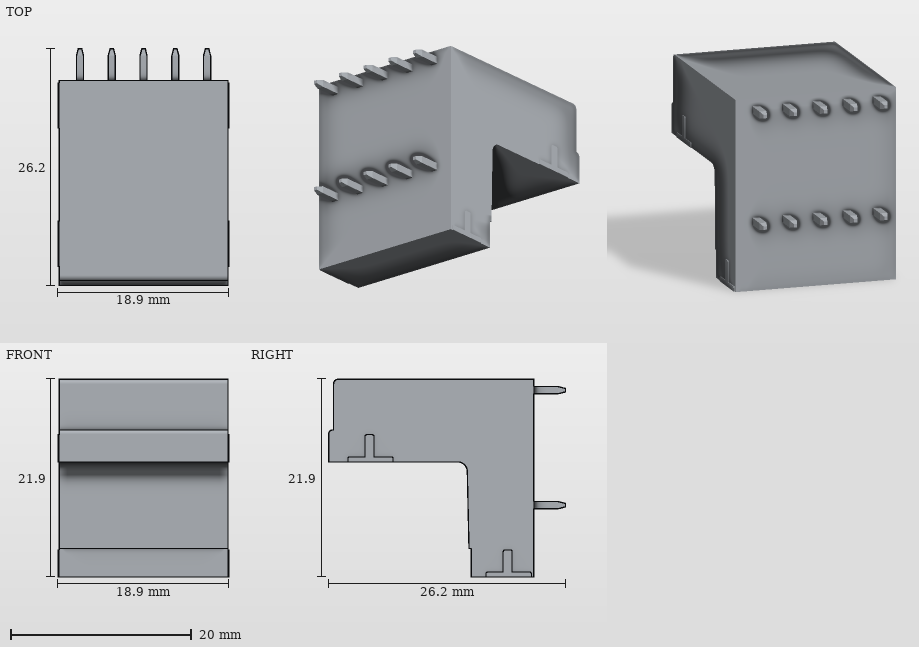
import cadquery as cq

overall_width = 18.9
overall_depth = 26.2
height = 21.9

tab_thickness = 0.1
body_width = overall_width - 2 * tab_thickness
pin_length = 3.5
body_depth = overall_depth - pin_length
arm_underside = 12.73
top_edge_radius = 0.55
lip_depth = 0.55
lip_top = 16.3
lip_radius = 0.5
foot_depth = 6.92
foot_height = 3.17
leg_bottom_depth = 7.18
leg_top_depth = 7.4
inner_radius = 1.05

pin_side = 0.8
pin_tip_side = 0.4
pin_tip_length = 0.8
pin_pitch = 3.5
pins_per_row = 5
pin_row_heights = (7.96, 20.67)
pin_root = 0.25

tab_bar_length = 5.0
tab_bar_height = 0.58
tab_stem_width = 1.0
tab_height = 3.0
tab_corner_radius = 0.18
tab_stem_offset = 0.1
foot_tab_centre = -2.78
tab_spacing = 15.27
tab_places = (
    (foot_tab_centre, 0.0),
    (foot_tab_centre - tab_spacing, arm_underside),
)


def make_housing():
    wall = -(body_depth - lip_depth)
    body = (
        cq.Workplane("YZ")
        .moveTo(0, 0)
        .lineTo(0, height)
        .lineTo(wall, height)
        .lineTo(wall, lip_top)
        .lineTo(-body_depth, lip_top)
        .lineTo(-body_depth, arm_underside)
        .lineTo(-leg_top_depth, arm_underside)
        .lineTo(-leg_bottom_depth, foot_height)
        .lineTo(-foot_depth, foot_height)
        .lineTo(-foot_depth, 0)
        .close()
        .extrude(body_width / 2, both=True)
    )
    rounded_edges = (
        (wall, height, top_edge_radius),
        (-body_depth, lip_top, lip_radius),
        (-leg_top_depth, arm_underside, inner_radius),
    )
    for y, z, radius in rounded_edges:
        edge = cq.selectors.NearestToPointSelector((0, y, z))
        body = body.edges("|X").edges(edge).fillet(radius)
    return body


def make_pin(x, z):
    shank_length = pin_length - pin_tip_length
    shank = (
        cq.Workplane("XZ", origin=(x, -pin_root, z))
        .rect(pin_side, pin_side)
        .extrude(-(pin_root + shank_length))
    )
    tip = (
        cq.Workplane("XZ", origin=(x, shank_length, z))
        .rect(pin_side, pin_side)
        .workplane(offset=-pin_tip_length)
        .rect(pin_tip_side, pin_tip_side)
        .loft(ruled=True)
    )
    return shank.union(tip)


def make_tab_pair(bar_centre, base):
    """T-shaped plate across the full width; only its ends stand out of the housing."""

    def plate(centre, width, plate_height):
        return (
            cq.Workplane("XY", origin=(0, centre, base))
            .box(overall_width, width, plate_height, centered=(True, True, False))
            .edges("|X and >Z")
            .fillet(tab_corner_radius)
        )

    bar = plate(bar_centre, tab_bar_length, tab_bar_height)
    stem = plate(bar_centre - tab_stem_offset, tab_stem_width, tab_height)
    return bar.union(stem)


result = make_housing()
for bar_centre, base in tab_places:
    result = result.union(make_tab_pair(bar_centre, base))
for row_height in pin_row_heights:
    for index in range(pins_per_row):
        pin_x = (index - (pins_per_row - 1) / 2) * pin_pitch
        result = result.union(make_pin(pin_x, row_height))